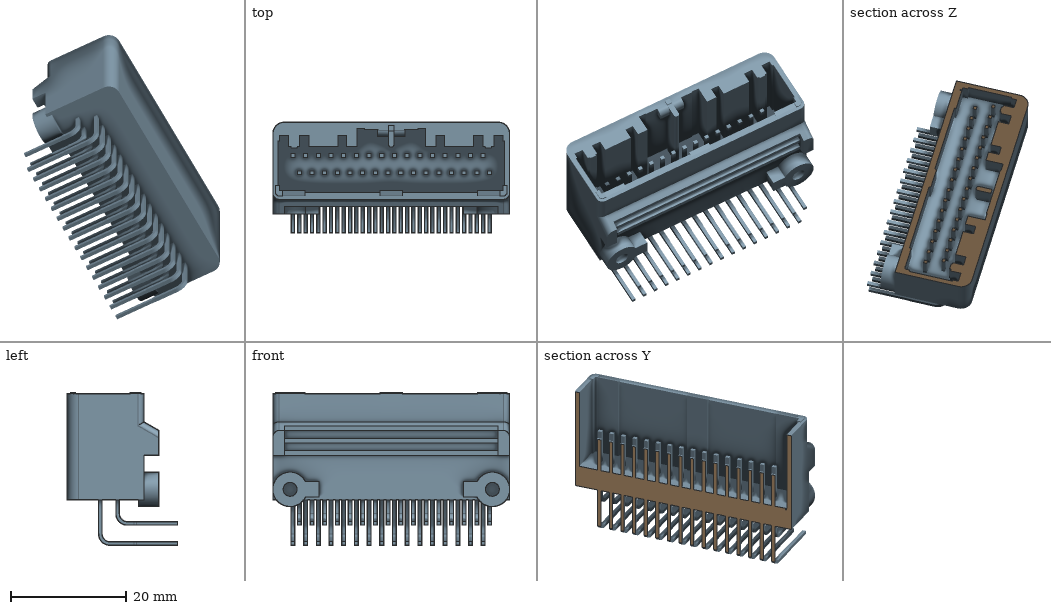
import cadquery as cq
import math


length = 41.1
depth = 13.4
height = 18.4
half_length = length / 2
rear_corner_radius = 2.0
front_corner_radius = 1.1

floor_thickness = 4.0
cavity_depth = height - floor_thickness
side_wall = 0.9
front_wall = 1.2
thick_rear_wall = 4.2
channel_rear_wall = 2.32
channel_spans = [(7.78, 9.24), (14.3, 15.93), (17.79, 19.39)]
outermost_channel_end = channel_spans[-1][1]
side_step_depth = 3.25
recess_half_length = 5.93
recess_rear_wall = 1.25
recess_end_start = 4.61
recess_end_rear_wall = 1.12
cavity_front = -(depth - front_wall)
cavity_half = half_length - side_wall

ledge_reach = 2.55
ledge_front = -(depth + ledge_reach)
ledge_bottom = 7.72
ledge_slope_top = height - 4.9
ledge_slope_angle = 30.0
ledge_slope_drop = ledge_reach * math.tan(math.radians(ledge_slope_angle))
ledge_ear = 2.0
fin_reach = ledge_reach / 2
fin_thickness = 0.8
fin_pitch = 2.13
fin_count = 3

lug_radius = 3.0
lug_hole_diameter = 2.4
lug_x = half_length - lug_radius
lug_z = 1.8
lug_length = 3.55
lug_tab_end = 12.55
lug_tab_height = 2.66

crush_rib_x = 16.84
crush_rib_root_width = 1.2
crush_rib_crest_width = 1.0
crush_rib_crest_y = -4.45

lip_height = 0.2
key_width = 0.95
key_back = -0.6
key_step = -1.5
key_front = -4.3
key_tip_radius = 0.4
key_pad_height = 1.0
latch_half_length = 2.35
latch_front = -2.45
latch_back = -1.2
latch_height = 1.7
latch_radius = 1.0

rib_back = -11.88
rib_front = -12.72
rib_length = 3.93
end_rib_x = 16.9
corner_outer_x = 20.05
corner_inner_x = 19.35
corner_foot_end_x = 18.9
corner_back = -10.95
corner_front = -12.83
corner_chamfer = 0.4

pin_thickness = 0.64
pin_leg_width = 0.7
pin_tip_width = 0.6
pin_pitch = 2.2
pins_per_row = 16
pin_bend_radius = 2.0
pin_tip_y = -19.2
pin_rise = 6.0
pin_top = floor_thickness + pin_rise
pin_taper_start = -11.6
pin_taper_end = -12.1
rear_row_y = -5.8
rear_row_bottom = -7.92
row_spacing = 3.0
row_drop = 3.5


def box(x0, x1, y0, y1, z0, z1):
    """Axis-aligned box between two opposite corners."""
    return cq.Workplane("XY").box(x1 - x0, y1 - y0, z1 - z0, centered=False).translate((x0, y0, z0))


def both_sides(shape):
    """The shape together with its mirror image across the YZ plane."""
    return shape.union(shape.mirror("YZ"))


def cavity_box(x0, x1, y0, y1):
    """Box reaching from the cavity floor up to the rim."""
    return box(x0, x1, y0, y1, floor_thickness, height)


def make_shell():
    """Solid housing block with its sloped front ledge and rounded corners."""
    profile = [
        (0, 0),
        (-depth, 0),
        (-depth, ledge_bottom),
        (ledge_front, ledge_bottom),
        (ledge_front, ledge_slope_top - ledge_slope_drop),
        (-depth, ledge_slope_top),
        (-depth, height),
        (0, height),
    ]
    block = cq.Workplane("YZ").polyline(profile).close().extrude(half_length, both=True)
    block = block.edges("|Z and >Y").fillet(rear_corner_radius)
    upper_front = cq.selectors.BoxSelector(
        (-length, ledge_front, ledge_slope_top - ledge_slope_drop),
        (length, -depth / 2, height),
    )
    return block.edges("not |X").edges(upper_front).fillet(front_corner_radius)


def cut_ledge_slots(body):
    """Recess the ledge between its two end ears, leaving thin horizontal fins."""
    half_slot = half_length - ledge_ear
    fin_front = -depth - fin_reach
    body = body.cut(box(-half_slot, half_slot, ledge_front, fin_front, ledge_bottom, ledge_slope_top))
    for i in range(fin_count - 1):
        slot_bottom = ledge_bottom + fin_thickness + i * fin_pitch
        slot_top = ledge_bottom + (i + 1) * fin_pitch
        body = body.cut(box(-half_slot, half_slot, ledge_front, -depth, slot_bottom, slot_top))
    return body


def make_cavity():
    """Mating cavity with the keyed relief of its thick rear wall."""
    cavity = cavity_box(0, cavity_half, cavity_front, -thick_rear_wall)
    for inner, outer in channel_spans:
        cavity = cavity.union(cavity_box(inner, outer, -thick_rear_wall, -channel_rear_wall))
    cavity = cavity.union(cavity_box(outermost_channel_end, cavity_half, -thick_rear_wall, -side_step_depth))
    cavity = cavity.union(cavity_box(0, recess_half_length, -thick_rear_wall, -recess_rear_wall))
    ends = cavity_box(recess_end_start, recess_half_length, -recess_rear_wall, -recess_end_rear_wall)
    return both_sides(cavity.union(ends))


def make_crush_ribs():
    """Low tapered ribs on the two outer rear lands."""
    root = crush_rib_root_width / 2
    crest = crush_rib_crest_width / 2
    rib = (
        cq.Workplane("XY", origin=(0, 0, floor_thickness))
        .polyline([
            (crush_rib_x - root, -thick_rear_wall),
            (crush_rib_x + root, -thick_rear_wall),
            (crush_rib_x + crest, crush_rib_crest_y),
            (crush_rib_x - crest, crush_rib_crest_y),
        ])
        .close()
        .extrude(cavity_depth)
    )
    return both_sides(rib)


def make_key():
    """Upright key blade with a rounded nose and a raised pad at its root."""
    half = key_width / 2
    blade = box(-half, half, key_front, key_step, floor_thickness, height)
    blade = blade.edges("|Z and <Y").fillet(key_tip_radius)
    pad = box(-half, half, key_step, key_back, height - key_pad_height, height + lip_height)
    return blade.union(pad)


def make_latch():
    """Rounded catch across the key, level with the rim."""
    latch = box(-latch_half_length, latch_half_length, latch_front, latch_back, height - latch_height, height)
    return latch.edges("|X and >Z and <Y").fillet(latch_radius)


def make_front_ribs():
    """Slope-topped ribs and corner posts inside the front wall."""
    middle_rib = (
        cq.Workplane("YZ")
        .polyline([
            (rib_back, floor_thickness),
            (rib_front, floor_thickness),
            (rib_front, height),
            (rib_back, height + lip_height),
        ])
        .close()
        .extrude(rib_length / 2, both=True)
    )
    post = (
        cq.Workplane("XY", origin=(0, 0, floor_thickness))
        .polyline([
            (corner_inner_x, corner_back),
            (corner_outer_x, corner_back),
            (corner_outer_x, corner_front + corner_chamfer),
            (corner_outer_x - corner_chamfer, corner_front),
            (corner_foot_end_x, corner_front),
            (corner_foot_end_x, rib_back),
            (corner_inner_x, rib_back),
        ])
        .close()
        .extrude(cavity_depth + lip_height)
    )
    end_rib = middle_rib.translate((end_rib_x, 0, 0))
    return middle_rib.union(both_sides(post.union(end_rib)))


def make_lugs():
    """Round mounting lugs with their inward tabs."""
    ring = cq.Workplane("XZ", origin=(lug_x, ledge_front, lug_z)).circle(lug_radius).extrude(-lug_length)
    tab = box(lug_tab_end, lug_x, ledge_front, -depth, lug_z - lug_tab_height / 2, lug_z + lug_tab_height / 2)
    return both_sides(ring.union(tab))


def make_lug_holes():
    """Blind holes along the lugs."""
    hole = (
        cq.Workplane("XZ", origin=(lug_x, ledge_front, lug_z))
        .circle(lug_hole_diameter / 2)
        .extrude(-lug_length)
    )
    return both_sides(hole)


def make_pin(y, bottom):
    """Bent rectangular pin: a vertical leg, a rounded elbow and a narrower horizontal tail."""
    half = pin_thickness / 2
    upper = bottom + pin_thickness
    inner_radius = pin_bend_radius - pin_thickness
    bent_bar = (
        cq.Workplane("YZ")
        .moveTo(y + half, pin_top)
        .lineTo(y + half, bottom + pin_bend_radius)
        .radiusArc((y + half - pin_bend_radius, bottom), pin_bend_radius)
        .lineTo(pin_tip_y, bottom)
        .lineTo(pin_tip_y, upper)
        .lineTo(y + half - pin_bend_radius, upper)
        .radiusArc((y - half, upper + inner_radius), -inner_radius)
        .lineTo(y - half, pin_top)
        .close()
        .extrude(pin_leg_width / 2, both=True)
    )
    leg = pin_leg_width / 2
    tip = pin_tip_width / 2
    relief = (
        cq.Workplane("XY", origin=(0, 0, bottom))
        .polyline([(leg, pin_taper_start), (tip, pin_taper_end), (tip, pin_tip_y), (leg, pin_tip_y)])
        .close()
        .extrude(pin_thickness)
    )
    return bent_bar.cut(both_sides(relief))


def add_pins(body):
    """Two rows of pins, staggered by half a pitch."""
    middle = (pins_per_row - 1) / 2
    stagger = pin_pitch / 4
    rows = [
        (rear_row_y, rear_row_bottom, -stagger),
        (rear_row_y - row_spacing, rear_row_bottom + row_drop, stagger),
    ]
    for y, bottom, shift in rows:
        pin = make_pin(y, bottom)
        for i in range(pins_per_row):
            body = body.union(pin.translate(((i - middle) * pin_pitch + shift, 0, 0)))
    return body


housing = cut_ledge_slots(make_shell()).cut(make_cavity())
housing = housing.union(make_crush_ribs()).union(make_latch()).union(make_key()).union(make_front_ribs())
housing = housing.union(make_lugs()).cut(make_lug_holes())
result = add_pins(housing)